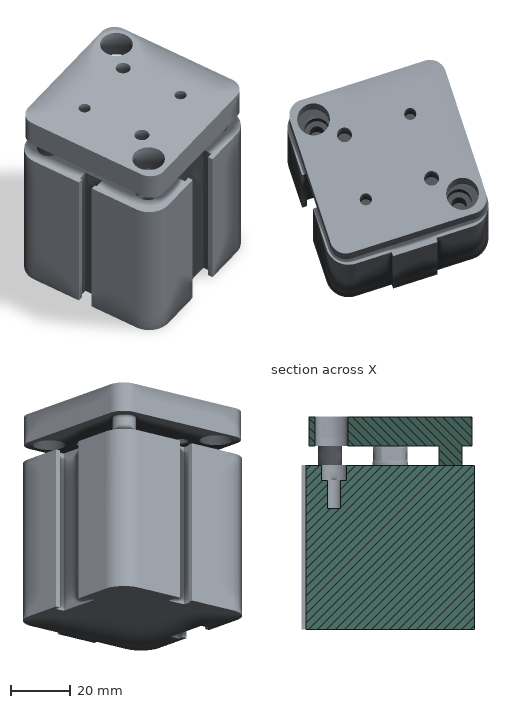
import cadquery as cq

body_size = 57.0
body_height = 55.5
body_corner_radius = 7.8
tab_width = 15.85
tab_height = 1.45

slot_depth = 5.1
slot_lip = 1.8
side_slot_opening = 12.0
side_slot_undercut = 2.0
front_slot_opening = 5.2
front_slot_undercut = 0.8

screw_position = 19.0
screw_hole_diameter = 5.05
screw_head_diameter = 8.65
screw_head_depth = 5.05
screw_hole_depth = 14.5

total_height = 72.0
plate_size = 55.15
plate_thickness = 10.0
plate_corner_radius = 5.5
access_hole_position = 19.95
access_hole_diameter = 11.0
fixing_hole_position = 11.7
plain_hole_diameter = 5.05
tapped_hole_diameter = 4.1

guide_rod_position = 20.3
guide_rod_diameter = 8.0
piston_rod_diameter = 12.0
piston_rod_exposed = 1.2
piston_rod_chamfer = 0.18
head_diameter = 11.7
head_flat_width = 10.0
flat_start = 1.5
head_chamfer_width = 0.3
head_chamfer_height = 0.5

plate_bottom = total_height - plate_thickness
rod_length = plate_bottom - body_height

screw_diagonal = [(-1, 1), (1, -1)]
guide_diagonal = [(-1, -1), (1, 1)]


def on_diagonal(corners, distance):
    """Points at the given X and Y distance from the axis."""
    return [(sx * distance, sy * distance) for sx, sy in corners]


def rounded_block(size, height, corner_radius):
    block = cq.Workplane("XY").rect(size, size).extrude(height)
    return block.edges("|Z").fillet(corner_radius)


def cylinders(points, diameter, bottom, height):
    plane = cq.Workplane("XY").workplane(offset=bottom)
    return plane.pushPoints(points).circle(diameter / 2).extrude(height)


def undercut_slot(opening, undercut, face_angle):
    """Full-height T-shaped slot; at zero angle it opens on the -Y face."""
    face = -body_size / 2
    lip_center = face + slot_lip / 2
    pocket_depth = slot_depth - slot_lip
    pocket_center = face + slot_lip + pocket_depth / 2
    lip = cq.Workplane("XY").center(0, lip_center).rect(opening, slot_lip).extrude(body_height)
    pocket_width = opening + 2 * undercut
    pocket = cq.Workplane("XY").center(0, pocket_center).rect(pocket_width, pocket_depth).extrude(body_height)
    return lip.union(pocket).rotate((0, 0, 0), (0, 0, 1), face_angle)


def make_housing():
    body = rounded_block(body_size, body_height, body_corner_radius)

    tab_reach = body_size / 2 + tab_height
    tab = cq.Workplane("XY").center(0, tab_reach / 2).rect(tab_width, tab_reach).extrude(body_height)
    body = body.union(tab)

    body = body.cut(undercut_slot(front_slot_opening, front_slot_undercut, 0))
    for face_angle in (-90, 90):
        body = body.cut(undercut_slot(side_slot_opening, side_slot_undercut, face_angle))

    screws = on_diagonal(screw_diagonal, screw_position)
    hole_floor = body_height - screw_hole_depth
    body = body.cut(cylinders(screws, screw_hole_diameter, hole_floor, screw_hole_depth))
    counterbore_floor = body_height - screw_head_depth
    return body.cut(cylinders(screws, screw_head_diameter, counterbore_floor, screw_head_depth))


def make_piston_rod():
    """Exposed rod end: a short rod stub and a head with two wrench flats."""
    head_radius = head_diameter / 2
    stub_radius = piston_rod_diameter / 2
    profile = [
        (0, 0),
        (stub_radius, 0),
        (stub_radius, piston_rod_exposed - piston_rod_chamfer),
        (head_radius, piston_rod_exposed),
        (head_radius, rod_length - head_chamfer_height),
        (head_radius - head_chamfer_width, rod_length),
        (0, rod_length),
    ]
    rod = cq.Workplane("XZ").polyline(profile).close().revolve(360, (0, 0), (0, 1))

    flat_envelope = cq.Workplane("XY").rect(head_flat_width, piston_rod_diameter).extrude(rod_length)
    full_round = cq.Workplane("XY").circle(piston_rod_diameter).extrude(flat_start)
    return rod.intersect(flat_envelope.union(full_round)).translate((0, 0, body_height))


def make_moving_plate():
    plate = rounded_block(plate_size, plate_thickness, plate_corner_radius)
    plate = plate.translate((0, 0, plate_bottom))

    holes = [
        (screw_diagonal, access_hole_position, access_hole_diameter),
        (screw_diagonal, fixing_hole_position, plain_hole_diameter),
        (guide_diagonal, fixing_hole_position, tapped_hole_diameter),
    ]
    for corners, distance, diameter in holes:
        points = on_diagonal(corners, distance)
        plate = plate.cut(cylinders(points, diameter, plate_bottom, plate_thickness))

    guide_points = on_diagonal(guide_diagonal, guide_rod_position)
    plate = plate.union(cylinders(guide_points, guide_rod_diameter, body_height, rod_length))
    return plate.union(make_piston_rod())


housing = make_housing()
moving_plate = make_moving_plate()
result = cq.Compound.makeCompound([housing.val(), moving_plate.val()])